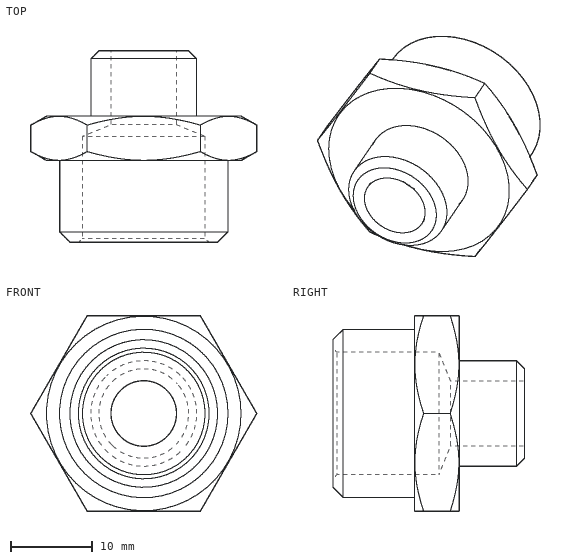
import cadquery as cq
import math

hex_corners = 27.7
hex_length = 5.5
hex_face_diameter = 23.83
hex_chamfer_angle = 30.0

large_diameter = 20.65
large_length = 10.0
large_chamfer = 1.27

small_diameter = 12.97
small_length = 8.0
small_chamfer = 1.0

through_diameter = 8.0
bore_diameter = 15.02
bore_depth = 13.0
mouth_diameter = 16.02
mouth_depth = 0.5
floor_cone_angle = 136.0

hex_front = -hex_length / 2
hex_back = hex_length / 2
large_end = hex_front - large_length
small_end = hex_back + small_length


def revolve_profile(points):
    """Turn a closed (radius, y) profile around the Y axis."""
    return cq.Workplane("XY").polyline(points).close().revolve(360, (0, 0, 0), (0, 1, 0))


def make_hexagon():
    """Hexagonal prism with both sets of corners turned down to a cone."""
    prism = (
        cq.Workplane("XZ", origin=(0, hex_back, 0))
        .polygon(6, hex_corners)
        .extrude(hex_length)
    )
    face_radius = hex_face_diameter / 2
    corner_radius = hex_corners / 2
    chamfer_length = (corner_radius - face_radius) * math.tan(math.radians(hex_chamfer_angle))
    envelope = revolve_profile([
        (0, hex_front),
        (face_radius, hex_front),
        (corner_radius, hex_front + chamfer_length),
        (corner_radius, hex_back - chamfer_length),
        (face_radius, hex_back),
        (0, hex_back),
    ])
    return prism.intersect(envelope)


def make_spigots():
    """Large and small cylindrical ends with chamfered tips."""
    large_radius = large_diameter / 2
    small_radius = small_diameter / 2
    return revolve_profile([
        (0, large_end),
        (large_radius - large_chamfer, large_end),
        (large_radius, large_end + large_chamfer),
        (large_radius, 0),
        (small_radius, 0),
        (small_radius, small_end - small_chamfer),
        (small_radius - small_chamfer, small_end),
        (0, small_end),
    ])


def make_bore():
    """Chamfered mouth, wide bore, conical floor and through hole."""
    through_radius = through_diameter / 2
    bore_radius = bore_diameter / 2
    bore_end = large_end + bore_depth
    cone_length = (bore_radius - through_radius) / math.tan(math.radians(floor_cone_angle / 2))
    return revolve_profile([
        (0, large_end),
        (mouth_diameter / 2, large_end),
        (bore_radius, large_end + mouth_depth),
        (bore_radius, bore_end),
        (through_radius, bore_end + cone_length),
        (through_radius, small_end),
        (0, small_end),
    ])


result = make_hexagon().union(make_spigots()).cut(make_bore())